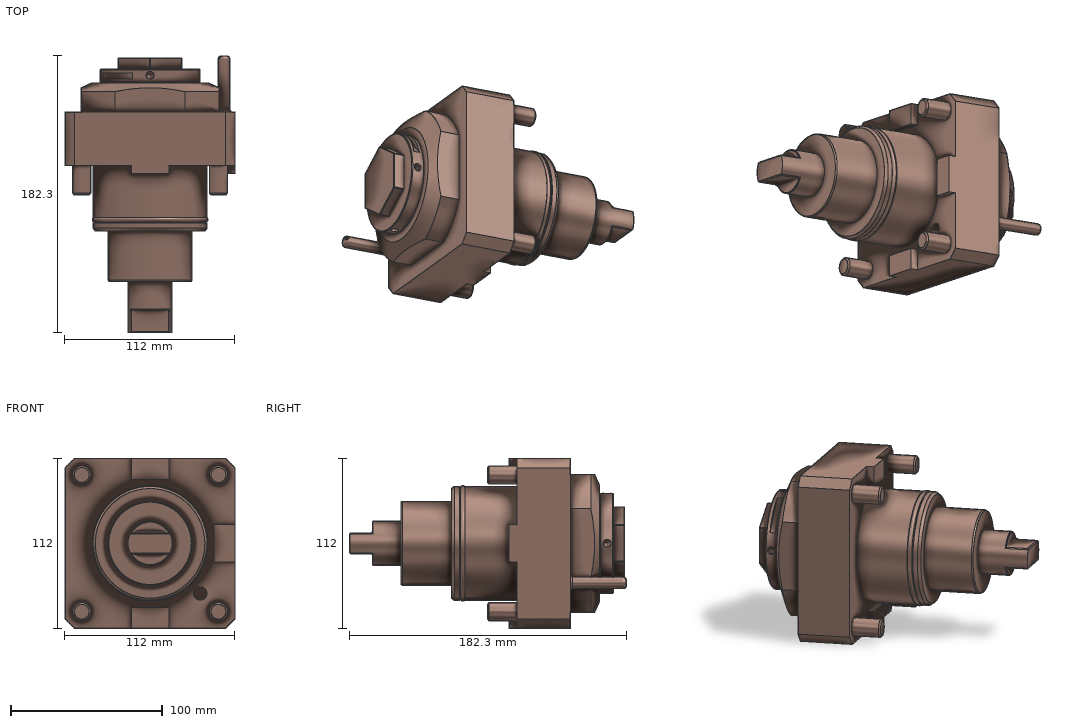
import cadquery as cq
import math


FLANGE_SIDE = 112.0
FLANGE_THICKNESS = 35.2
FLANGE_CORNER = 6.2
KEY_WIDTH = 24.8
KEY_DEPTH = 13.9
KEY_HEIGHT = 5.1

SCREW_RADIUS = 6.0
SCREW_OFFSET = 45.0
SCREW_LENGTH = 19.3
SCREW_CHAMFER = 1.1

INLET_RADIUS = 4.4
INLET_OFFSET = 33.0
INLET_DEPTH = 18.2

BARREL_RADIUS = 37.5
BARREL_LENGTH = 43.2
BARREL_CHAMFER_LENGTH = 2.0
BARREL_CHAMFER_DEPTH = 1.5
BOSS_RADIUS = 27.7
BOSS_END = 76.4
BOSS_CHAMFER_LENGTH = 1.1
BOSS_CHAMFER_DEPTH = 0.5

GROOVE_START = 34.1
GROOVE_WIDTH = 3.8
GROOVE_DEPTH = 1.1
BEAD_SECTION_RADIUS = 1.5
BEAD_HEIGHT = 0.5

CAP_RADIUS = 50.9
CAP_FACE_RADIUS = 38.3
CAP_RIM_LENGTH = 13.5
CAP_LENGTH = 19.3
CAP_ACROSS_FLATS = 90.8

PIPE_X = 48.7
PIPE_Z = -26.0
PIPE_RADIUS = 3.8
PIPE_FOOT_RADIUS = 5.1
PIPE_FOOT_HEIGHT = 1.5
PIPE_TIP_FILLET = 2.0
PIPE_END = 72.2
JET_RADIUS = 1.3
JET_DEPTH = 2.7

SHAFT_RADIUS = 14.5
SHAFT_CHAMFER = 0.5
TANG_THICKNESS = 13.9
TANG_EDGE_CHAMFER = 0.7
TANG_START = 95.2
TANG_END = 110.1
TANG_ROOT_FILLET = 1.0

NUT_RADIUS = 33.0
NUT_LENGTH = 9.1
NUT_CHAMFER = 0.5
HEX_SIDES = 6
HEX_ACROSS_FLATS = 42
HEX_LENGTH = 7.3
HEX_CHAMFER = 0.4
SPANNER_HOLE_RADIUS = 2.5
SPANNER_HOLE_DEPTH = 2.7
SPANNER_HOLE_HEIGHT = 5.0
SPANNER_HOLE_COUNT = 4
DRILL_POINT_ANGLE = 118
LABEL_WIDTH = 3.8
LABEL_DISTANCE = 30.0
LABEL_ANGLE = -45

CAP_REAR = FLANGE_THICKNESS + CAP_LENGTH
NUT_REAR = CAP_REAR + NUT_LENGTH


def facing_rear(y):
    """Workplane across the axis at height y: local x is X and local y is Z."""
    return cq.Workplane("XZ", origin=(0, y, 0))


def along_y(sketch, length):
    """Extrude a sketch from facing_rear() towards +Y."""
    return sketch.extrude(-length)


def turned(points):
    """Turn a closed outline of (radius, y) points about the Y axis."""
    return cq.Workplane("XY").polyline(points).close().revolve(360, (0, 0, 0), (0, 1, 0))



def make_flange():
    plate = along_y(facing_rear(0).rect(FLANGE_SIDE, FLANGE_SIDE), FLANGE_THICKNESS)
    plate = plate.edges("|Y").chamfer(FLANGE_CORNER)
    key_centre = (FLANGE_SIDE - KEY_DEPTH) / 2
    key = along_y(facing_rear(-KEY_HEIGHT).center(key_centre, 0).rect(KEY_DEPTH, KEY_WIDTH), KEY_HEIGHT)
    for angle in (-90, 0, 90):
        plate = plate.union(key.rotate((0, 0, 0), (0, 1, 0), angle))
    inlet = along_y(facing_rear(0).center(INLET_OFFSET, -INLET_OFFSET).circle(INLET_RADIUS), INLET_DEPTH)
    return plate.cut(inlet)


def make_screws():
    screws = facing_rear(-SCREW_LENGTH).rect(2 * SCREW_OFFSET, 2 * SCREW_OFFSET, forConstruction=True)
    screws = along_y(screws.vertices().circle(SCREW_RADIUS), SCREW_LENGTH)
    return screws.faces("<Y").chamfer(SCREW_CHAMFER)


def make_neck():
    groove_end = GROOVE_START + GROOVE_WIDTH
    groove_radius = BARREL_RADIUS - GROOVE_DEPTH
    neck = turned([
        (0, 0),
        (BARREL_RADIUS, 0),
        (BARREL_RADIUS, -GROOVE_START),
        (groove_radius, -GROOVE_START),
        (groove_radius, -groove_end),
        (BARREL_RADIUS, -groove_end),
        (BARREL_RADIUS, -BARREL_LENGTH + BARREL_CHAMFER_LENGTH),
        (BARREL_RADIUS - BARREL_CHAMFER_DEPTH, -BARREL_LENGTH),
        (BOSS_RADIUS, -BARREL_LENGTH),
        (BOSS_RADIUS, -BOSS_END + BOSS_CHAMFER_LENGTH),
        (BOSS_RADIUS - BOSS_CHAMFER_DEPTH, -BOSS_END),
        (0, -BOSS_END),
    ])
    bead_centre = BARREL_RADIUS + BEAD_HEIGHT - BEAD_SECTION_RADIUS
    bead = (
        cq.Workplane("XY")
        .center(bead_centre, -GROOVE_START - BEAD_SECTION_RADIUS)
        .circle(BEAD_SECTION_RADIUS)
        .revolve(360, (-bead_centre, 0, 0), (-bead_centre, 1, 0))
    )
    return neck.union(bead)


def make_cap():
    cap = turned([
        (0, FLANGE_THICKNESS),
        (CAP_RADIUS, FLANGE_THICKNESS),
        (CAP_RADIUS, FLANGE_THICKNESS + CAP_RIM_LENGTH),
        (CAP_FACE_RADIUS, CAP_REAR),
        (0, CAP_REAR),
    ])
    flats = along_y(facing_rear(FLANGE_THICKNESS).rect(CAP_ACROSS_FLATS, CAP_ACROSS_FLATS), CAP_LENGTH)
    return cap.intersect(flats)


def make_pipe():
    pipe_length = PIPE_END - FLANGE_THICKNESS
    pipe = along_y(facing_rear(FLANGE_THICKNESS).circle(PIPE_RADIUS), pipe_length)
    pipe = pipe.faces(">Y").edges().fillet(PIPE_TIP_FILLET)
    foot_top = FLANGE_THICKNESS + PIPE_FOOT_HEIGHT
    foot = turned([
        (0, FLANGE_THICKNESS),
        (PIPE_FOOT_RADIUS, FLANGE_THICKNESS),
        (PIPE_RADIUS, foot_top),
        (0, foot_top),
    ])
    reach = math.hypot(PIPE_X, PIPE_Z)
    inward = cq.Vector(-PIPE_X / reach, 0, -PIPE_Z / reach)
    direction = (inward + cq.Vector(0, 1, 0)).normalized()
    round_centre = inward * (PIPE_RADIUS - PIPE_TIP_FILLET) + cq.Vector(0, PIPE_END - PIPE_TIP_FILLET, 0)
    jet_start = round_centre + direction * (PIPE_TIP_FILLET - JET_DEPTH)
    jet = cq.Solid.makeCylinder(JET_RADIUS, 2 * JET_DEPTH, jet_start, direction)
    return pipe.union(foot).cut(cq.Workplane(jet)).translate((PIPE_X, 0, PIPE_Z))


def make_housing():
    housing = make_flange()
    for feature in (make_screws(), make_neck(), make_cap(), make_pipe()):
        housing = housing.union(feature)
    bore = along_y(facing_rear(-BOSS_END).circle(SHAFT_RADIUS), BOSS_END + CAP_REAR)
    return housing.cut(bore)



def make_shaft():
    shaft = along_y(facing_rear(-TANG_START).circle(SHAFT_RADIUS), TANG_START + CAP_REAR)
    shaft = shaft.faces("<Y").chamfer(SHAFT_CHAMFER)
    return shaft.union(make_tang())


def make_tang():
    tang_length = TANG_END - TANG_START + SHAFT_CHAMFER
    blank = along_y(facing_rear(-TANG_END).circle(SHAFT_RADIUS), tang_length)
    slab = along_y(facing_rear(-TANG_END).rect(2 * SHAFT_RADIUS, TANG_THICKNESS), tang_length)
    tang = blank.intersect(slab)
    tang = tang.faces("<Z or >Z").edges("not >Y").chamfer(TANG_EDGE_CHAMFER)
    half = TANG_THICKNESS / 2
    root = (
        cq.Workplane("YZ")
        .moveTo(-TANG_START, 0)
        .lineTo(-TANG_START, half + TANG_ROOT_FILLET)
        .radiusArc((-TANG_START - TANG_ROOT_FILLET, half), TANG_ROOT_FILLET)
        .lineTo(-TANG_START - TANG_ROOT_FILLET, 0)
        .close()
        .extrude(SHAFT_RADIUS, both=True)
        .intersect(blank)
    )
    return tang.union(root).union(root.mirror("XY"))


def make_nut():
    nut = along_y(facing_rear(CAP_REAR).circle(NUT_RADIUS), NUT_LENGTH)
    nut = nut.faces("<Y or >Y").chamfer(NUT_CHAMFER)
    hex_across_corners = HEX_ACROSS_FLATS / math.cos(math.pi / HEX_SIDES)
    hexagon = along_y(facing_rear(NUT_REAR).polygon(HEX_SIDES, hex_across_corners), HEX_LENGTH)
    hexagon = hexagon.rotate((0, 0, 0), (0, 1, 0), 90)
    hexagon = hexagon.edges("|Y or >Y").chamfer(HEX_CHAMFER)
    nut = nut.union(hexagon)

    hole_floor = NUT_RADIUS - SPANNER_HOLE_DEPTH
    point_length = SPANNER_HOLE_RADIUS / math.tan(math.radians(DRILL_POINT_ANGLE / 2))
    spanner_hole = (
        cq.Workplane("XY")
        .polyline([
            (0, hole_floor - point_length),
            (SPANNER_HOLE_RADIUS, hole_floor),
            (SPANNER_HOLE_RADIUS, NUT_RADIUS),
            (0, NUT_RADIUS),
        ])
        .close()
        .revolve(360, (0, 0, 0), (0, 1, 0))
        .rotate((0, 0, 0), (1, 0, 0), 90)
        .translate((0, CAP_REAR + SPANNER_HOLE_HEIGHT, 0))
    )
    for index in range(SPANNER_HOLE_COUNT):
        angle = index * 360 / SPANNER_HOLE_COUNT
        nut = nut.cut(spanner_hole.rotate((0, 0, 0), (0, 1, 0), angle))

    label_depth = NUT_RADIUS - LABEL_DISTANCE
    label = (
        cq.Workplane("XY")
        .box(2 * NUT_RADIUS, LABEL_WIDTH, label_depth, centered=(True, True, False))
        .translate((0, CAP_REAR + NUT_LENGTH / 2, LABEL_DISTANCE))
        .rotate((0, 0, 0), (0, 1, 0), LABEL_ANGLE)
    )
    return nut.cut(label)


def make_spindle():
    return make_shaft().union(make_nut())


housing = make_housing().solids()
spindle = make_spindle().solids()
result = cq.Compound.makeCompound([housing.val(), spindle.val()])